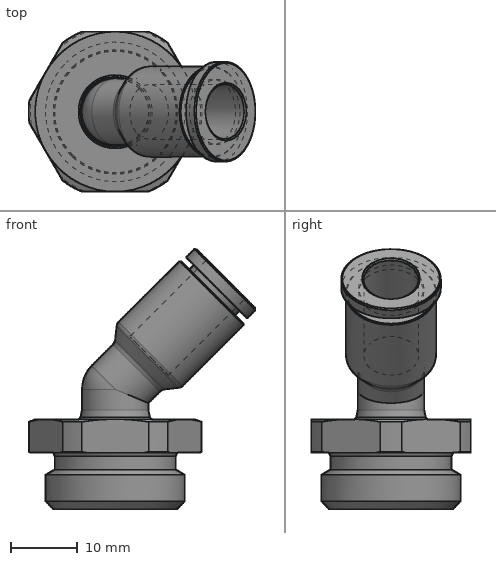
import cadquery as cq

plug_radius = 10.5
plug_tip_radius = 9.25
plug_neck_radius = 9.1
plug_flare_radius = 9.35
plug_tip_chamfer_top = 1.25
plug_shoulder_start = 5.2
plug_neck_start = 6.0
plug_flare_start = 7.98

hex_across_flats = 24.0
hex_corner_radius = 13.02
hex_turn = 30
hex_bottom = 8.53
hex_top = 13.55
hex_top_chamfer_height = 0.4
hex_bottom_chamfer_height = 0.15
hex_bottom_chamfer_width = 0.25

tube_radius = 5.0
collar_radius = 5.25
collar_foot_radius = 5.5
collar_foot_top = 13.8
collar_top = 14.98
elbow_height = 18.03
tilt_angle = 45

shoulder_start = 4.9
sleeve_start = 7.15
sleeve_end = 20.6
sleeve_radius = 6.8
shoulder_fillet = 1.0
sleeve_chamfer = 0.15
release_neck_radius = 4.9

ring_start = 21.55
ring_end = 23.5
ring_half_length = 7.5
ring_half_width = 6.5
ring_chamfer = 0.2
bore_radius = 4.1
bore_chamfer = 0.25


def turned(profile):
    """Solid turned about Z from (radius, height) points that start and end on the axis."""
    return cq.Workplane("XZ").polyline(profile).close().revolve(360, (0, 0), (0, 1))


def threaded_plug():
    return turned([
        (0, 0),
        (plug_tip_radius, 0),
        (plug_radius, plug_tip_chamfer_top),
        (plug_radius, plug_shoulder_start),
        (plug_neck_radius, plug_neck_start),
        (plug_neck_radius, plug_flare_start),
        (plug_flare_radius, hex_bottom),
        (0, hex_bottom),
    ])


def hex_flange():
    hexagon = (
        cq.Workplane("XY", origin=(0, 0, hex_bottom))
        .polygon(6, hex_across_flats, circumscribed=True)
        .extrude(hex_top - hex_bottom)
        .rotate((0, 0, 0), (0, 0, 1), hex_turn)
    )
    corner_envelope = turned([
        (0, hex_bottom),
        (hex_corner_radius - hex_bottom_chamfer_width, hex_bottom),
        (hex_corner_radius, hex_bottom + hex_bottom_chamfer_height),
        (hex_corner_radius, hex_top - hex_top_chamfer_height),
        (hex_across_flats / 2, hex_top),
        (0, hex_top),
    ])
    return hexagon.intersect(corner_envelope)


def upright_stem():
    stem = turned([
        (0, hex_top),
        (collar_foot_radius, hex_top),
        (collar_radius, collar_foot_top),
        (tube_radius, collar_top),
        (tube_radius, elbow_height),
        (0, elbow_height),
    ])
    elbow_ball = cq.Workplane("XY", origin=(0, 0, elbow_height)).sphere(tube_radius)
    return stem.union(elbow_ball)


def release_ring():
    ring = (
        cq.Workplane("XY", origin=(0, 0, ring_start))
        .ellipse(ring_half_width, ring_half_length)
        .extrude(ring_end - ring_start)
    )
    return ring.faces(">Z").edges().chamfer(ring_chamfer)


def socket():
    """Socket standing upright on the origin, before it is tilted."""
    body = turned([
        (0, 0),
        (tube_radius, 0),
        (tube_radius, shoulder_start),
        (sleeve_radius, sleeve_start),
        (sleeve_radius, sleeve_end - sleeve_chamfer),
        (sleeve_radius - sleeve_chamfer, sleeve_end),
        (release_neck_radius, sleeve_end),
        (release_neck_radius, ring_start),
        (0, ring_start),
    ])
    shoulder_edges = cq.selectors.BoxSelector(
        (-sleeve_radius, -sleeve_radius, shoulder_start - shoulder_fillet),
        (sleeve_radius, sleeve_radius, sleeve_start + shoulder_fillet),
    )
    body = body.edges("%CIRCLE").edges(shoulder_edges).fillet(shoulder_fillet)
    return body.union(release_ring())


def tube_bore():
    """Blind bore with a chamfered mouth, aligned with the upright socket."""
    return turned([
        (0, sleeve_start),
        (bore_radius, sleeve_start),
        (bore_radius, ring_end - bore_chamfer),
        (bore_radius + bore_chamfer, ring_end),
        (0, ring_end),
    ])


def tilted(upright):
    """Lean a shape toward +X and move its origin to the elbow centre."""
    return upright.rotate((0, 0, 0), (0, 1, 0), tilt_angle).translate((0, 0, elbow_height))


result = (
    threaded_plug()
    .union(hex_flange())
    .union(upright_stem())
    .union(tilted(socket()))
    .cut(tilted(tube_bore()))
)